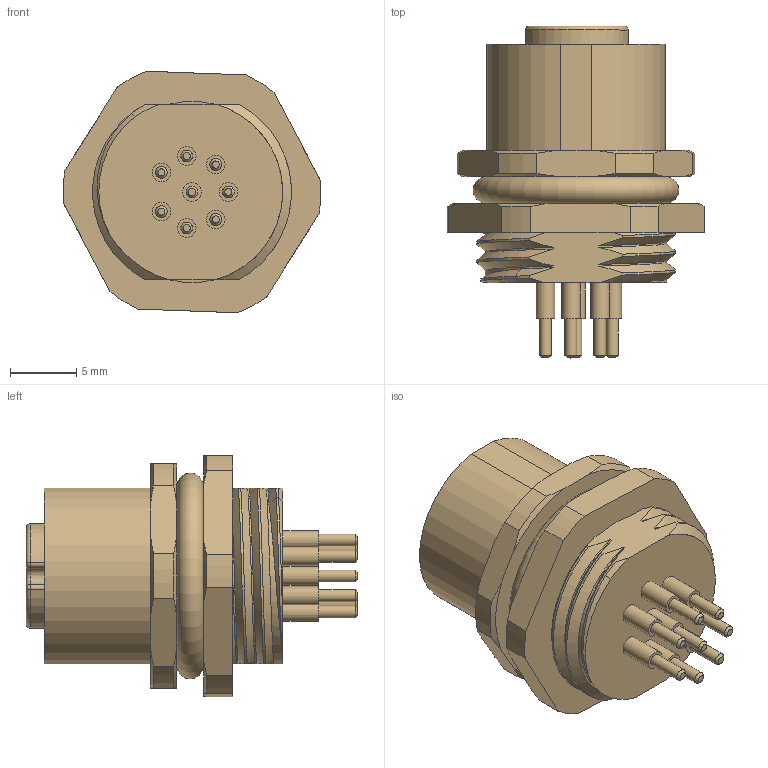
import cadquery as cq
import math


seal_gap = 2.04
flange_thickness = 1.98
body_length = 8.03
insert_length = 1.38
lock_nut_thickness = 2.21
thread_exposed = 3.78
pin_thick_length = 2.71
pin_thin_length = 2.97

flange_front = seal_gap
flange_back = flange_front + flange_thickness
body_back = flange_back + body_length
lock_nut_front = -lock_nut_thickness
thread_end = lock_nut_front - thread_exposed

body_radius = 6.755
flat_height = 6.65

thread_pitch = 25.4 / 18
thread_root_radius = 6.86
thread_crest_radius = 7.52
thread_crest_width = thread_pitch / 8
thread_half_angle = math.radians(40)
thread_overlap = 0.05
last_crest = -5.79
thread_turns = 4
ridge_top = -0.55
run_out_start = 52.5
run_out_angle = 110
run_out_sections = 6

flange_across_flats = 17.0
flange_corner_radius = 9.0
flange_face_radius = 8.6
lock_nut_across_flats = 18.0
lock_nut_corner_radius = 9.75
lock_nut_face_radius = 9.35
lock_nut_turn = 2.16
nut_chamfer_angle = math.radians(30)

seal_radius = 1.0
seal_outer_radius = 7.78

insert_radius = 3.96
insert_edge_radius = 0.3
keyway_radius = 0.64
keyway_center = 3.45
keyway_lip_radius = 0.3

outer_pin_count = 7
pin_circle_radius = 2.75
pin_spacing = 49.1
pin_thick_radius = 0.7
pin_thin_radius = 0.45
pin_tip_chamfer = 0.18


def along_axis(y):
    """Workplane across the axis at Y = y, with X right, Z up and extrusion toward -Y."""
    return cq.Workplane("XZ", origin=(0, y, 0))


def disc(radius, y_low, y_high):
    return along_axis(y_high).circle(radius).extrude(y_high - y_low)


def turned(profile):
    """Revolve a closed list of (radius, y) points about the axis."""
    return cq.Workplane("XY").polyline(profile).close().revolve(360, (0, 0, 0), (0, 1, 0))


def between_flats(y_low, y_high):
    """Block between the two body flats, wide enough to hold the thread."""
    width = 4 * body_radius
    return along_axis(y_high).rect(width, 2 * flat_height).extrude(y_high - y_low)


def hexagon(across_flats, y_low, y_high):
    """Hexagonal prism with flats facing +Z and -Z."""
    across_corners = across_flats / math.cos(math.pi / 6)
    return along_axis(y_high).polygon(6, across_corners).extrude(y_high - y_low)


def make_body():
    barrel = disc(body_radius, 0, body_back)
    return barrel.intersect(between_flats(0, body_back))


def make_flange():
    drop = (flange_corner_radius - flange_face_radius) * math.tan(nut_chamfer_angle)
    envelope = turned([
        (0, flange_front),
        (flange_face_radius, flange_front),
        (flange_corner_radius, flange_front + drop),
        (flange_corner_radius, flange_back - drop),
        (flange_face_radius, flange_back),
        (0, flange_back),
    ])
    return hexagon(flange_across_flats, flange_front, flange_back).intersect(envelope)


def make_lock_nut():
    """Hex nut whose bore stays open beside the two body flats."""
    drop = (lock_nut_corner_radius - lock_nut_face_radius) * math.tan(nut_chamfer_angle)
    envelope = turned([
        (0, lock_nut_front),
        (lock_nut_corner_radius, lock_nut_front),
        (lock_nut_corner_radius, -drop),
        (lock_nut_face_radius, 0),
        (0, 0),
    ])
    nut = hexagon(lock_nut_across_flats, lock_nut_front, 0).intersect(envelope)
    nut = nut.rotate((0, 0, 0), (0, 1, 0), lock_nut_turn)
    bore = disc(thread_root_radius, lock_nut_front, 0)
    return nut.cut(bore)


def make_seal_ring():
    center_radius = seal_outer_radius - seal_radius
    section = cq.Workplane("XY").center(-center_radius, seal_gap / 2).circle(seal_radius)
    return section.revolve(360, (center_radius, 0, 0), (center_radius, 1, 0))


def ridge_section(sink=0):
    """Points (radius, offset along the axis) of the ridge profile, lowered by sink."""
    foot_radius = thread_root_radius - thread_overlap
    crest_half = thread_crest_width / 2
    foot_half = crest_half + (thread_crest_radius - foot_radius) * math.tan(thread_half_angle)
    return [
        (foot_radius - sink, -foot_half),
        (thread_crest_radius - sink, -crest_half),
        (thread_crest_radius - sink, crest_half),
        (foot_radius - sink, foot_half),
    ]


def make_full_ridge():
    """Ridge of constant height along a helix about Z, starting in the XZ plane on the +X side."""
    helix = cq.Wire.makeHelix(thread_pitch, thread_turns * thread_pitch, thread_root_radius)
    profile = cq.Workplane("XZ").polyline(ridge_section()).close()
    return profile.sweep(cq.Workplane(obj=helix), isFrenet=True)


def make_run_out():
    """Ridge that follows the helix backward from its start while sinking into the core."""
    wires = []
    for index in range(run_out_sections):
        fraction = index / (run_out_sections - 1)
        turn = -run_out_angle * fraction
        sink = (thread_crest_radius - thread_root_radius + thread_overlap) * fraction
        z_shift = thread_pitch * turn / 360
        points = [cq.Vector(radius, 0, z + z_shift) for radius, z in ridge_section(sink)]
        wire = cq.Wire.makePolygon(points, close=True)
        wires.append(wire.rotate(cq.Vector(0, 0, 0), cq.Vector(0, 0, 1), turn))
    return cq.Workplane(obj=cq.Solid.makeLoft(wires))


def place_ridge(ridge):
    """Lay the helix axis along Y and turn the helix start to its angle and station."""
    start_y = last_crest + thread_pitch * run_out_start / 360
    upright = ridge.rotate((0, 0, 0), (1, 0, 0), -90)
    return upright.rotate((0, 0, 0), (0, 1, 0), 180 + run_out_start).translate((0, start_y, 0))


def make_threaded_end():
    outer_radius = thread_crest_radius + thread_overlap
    ridge_limits = disc(outer_radius, thread_end, ridge_top)
    core = disc(thread_root_radius, thread_end, 0)
    for ridge in (make_full_ridge(), make_run_out()):
        core = core.union(place_ridge(ridge).intersect(ridge_limits))
    return core.intersect(between_flats(thread_end, 0))


def make_insert():
    """Round contact insert with a rounded keyway on the -X side."""
    top = body_back + insert_length
    keyway = along_axis(top).center(-keyway_center, 0).circle(keyway_radius).extrude(insert_length)
    mouth = (
        along_axis(top)
        .center(-keyway_center - insert_radius / 2, 0)
        .rect(insert_radius, 2 * keyway_radius)
        .extrude(insert_length)
    )
    insert = disc(insert_radius, body_back, top).cut(keyway.union(mouth))
    lip_x = -math.sqrt(insert_radius**2 - keyway_radius**2)
    lip_y = top - insert_length / 2
    for lip_z in (-keyway_radius, keyway_radius):
        lip = cq.selectors.NearestToPointSelector((lip_x, lip_y, lip_z))
        insert = insert.edges("|Y").edges(lip).fillet(keyway_lip_radius)
    return insert.faces(">Y").edges().fillet(insert_edge_radius)


def make_pin(x, z):
    shoulder = thread_end - pin_thick_length
    tip = shoulder - pin_thin_length
    thick = disc(pin_thick_radius, shoulder, thread_end)
    thin = disc(pin_thin_radius, tip, shoulder).faces("<Y").chamfer(pin_tip_chamfer)
    return thick.union(thin).translate((x, 0, z))


def make_pins():
    pins = make_pin(0, 0)
    middle = outer_pin_count // 2
    for index in range(-middle, middle + 1):
        angle = math.radians(index * pin_spacing)
        x = pin_circle_radius * math.cos(angle)
        z = pin_circle_radius * math.sin(angle)
        pins = pins.union(make_pin(x, z))
    return pins


result = (
    make_lock_nut()
    .union(make_threaded_end())
    .union(make_body())
    .union(make_flange())
    .union(make_seal_ring())
    .union(make_insert())
    .union(make_pins())
)